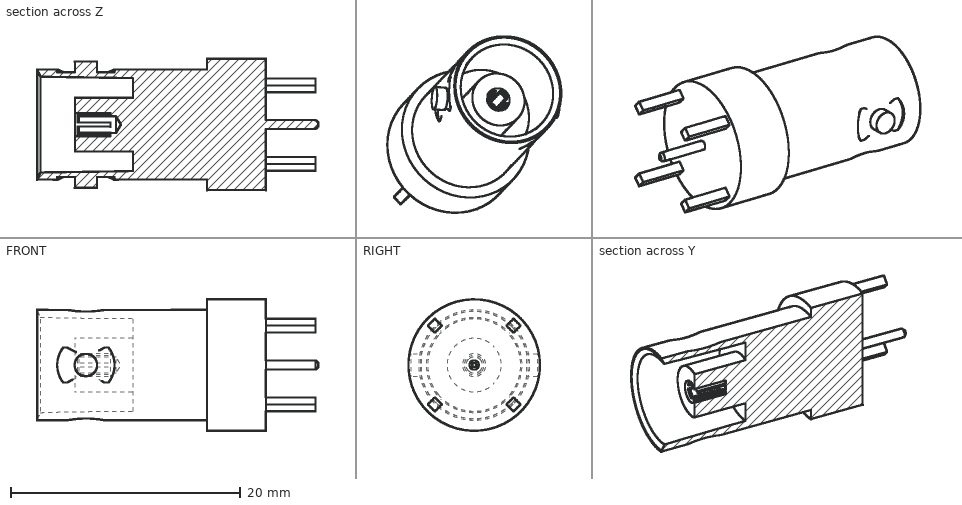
import cadquery as cq
import math

TOTAL_LENGTH = 24.5

BARREL_RADIUS = 4.83
FLANGE_DIAMETER = 11.5
FLANGE_RADIUS = FLANGE_DIAMETER / 2
FLANGE_START = 14.8
FLANGE_END = 19.95

MOUTH_RADIUS = 4.7
THROAT_RADIUS = 4.17
THROAT_X = 0.3
FLOOR_RADIUS = 4.05
FLOOR_X = 8.33

LUG_X = 4.25
GROOVE_WIDTH = 3.24
GROOVE_BOTTOM_RADIUS = 4.68

LUG_RADIUS = 0.98
LUG_TIP_Y = 5.51
SPOT_RADIUS = 2.5
SPOT_Y = 4.58

INSULATOR_RADIUS = 2.35
INSULATOR_FRONT = 3.28
INSULATOR_BORE_RADIUS = 1.0
CONTACT_RADIUS = 0.85
CONTACT_FRONT = 3.5
CONTACT_HOLE_RADIUS = 0.7
CONTACT_SLOT_FLOOR = 6.37
CONTACT_SLOT_WIDTH = 0.37
CONTACT_HOLE_END = 6.86
DRILL_POINT_ANGLE = 118.0

PIN_DIAGONAL = 1.23
PIN_OFFSET = 3.43
PIN_END = 24.3
CENTRE_PIN_DIAMETER = 0.8
CENTRE_PIN_TIP_CHAMFER = TOTAL_LENGTH - PIN_END


def revolve_about_x(profile):
    """Close an XY profile (X along the axis, Y the radius) and spin it about X."""
    return profile.close().revolve(360, (0, 0, 0), (1, 0, 0))


def rod(radius, start, end):
    """Cylinder along X between two X positions."""
    return cq.Workplane("YZ", origin=(start, 0, 0)).circle(radius).extrude(end - start)


def make_shell():
    """Barrel with its groove, rear flange and tapered cavity."""
    groove_start = LUG_X - GROOVE_WIDTH / 2
    groove_end = LUG_X + GROOVE_WIDTH / 2
    profile = (
        cq.Workplane("XY")
        .moveTo(0, MOUTH_RADIUS)
        .lineTo(0, BARREL_RADIUS)
        .lineTo(groove_start, BARREL_RADIUS)
        .threePointArc((LUG_X, GROOVE_BOTTOM_RADIUS), (groove_end, BARREL_RADIUS))
        .lineTo(FLANGE_START, BARREL_RADIUS)
        .lineTo(FLANGE_START, FLANGE_RADIUS)
        .lineTo(FLANGE_END, FLANGE_RADIUS)
        .lineTo(FLANGE_END, 0)
        .lineTo(FLOOR_X, 0)
        .lineTo(FLOOR_X, FLOOR_RADIUS)
        .lineTo(THROAT_X, THROAT_RADIUS)
    )
    return revolve_about_x(profile)


def y_cylinder(radius, start_y, end_y):
    """Cylinder along Y at the lug position."""
    plane = cq.Plane(origin=(LUG_X, start_y, 0), xDir=(1, 0, 0), normal=(0, 1, 0))
    return cq.Workplane(plane).circle(radius).extrude(end_y - start_y)


def add_lugs(shell):
    """Cut the two opposite spot faces and stand a lug on each."""
    lug_root_y = (SPOT_Y + THROAT_RADIUS) / 2
    for side in (-1, 1):
        shell = shell.cut(y_cylinder(SPOT_RADIUS, side * SPOT_Y, side * FLANGE_RADIUS))
        shell = shell.union(y_cylinder(LUG_RADIUS, side * lug_root_y, side * LUG_TIP_Y))
    return shell


def make_socket():
    """Flared hole with a drill point, as a solid to remove from the contact."""
    flare_depth = CONTACT_RADIUS - CONTACT_HOLE_RADIUS
    point_depth = CONTACT_HOLE_RADIUS / math.tan(math.radians(DRILL_POINT_ANGLE / 2))
    profile = (
        cq.Workplane("XY")
        .moveTo(CONTACT_FRONT, 0)
        .lineTo(CONTACT_FRONT, CONTACT_RADIUS)
        .lineTo(CONTACT_FRONT + flare_depth, CONTACT_HOLE_RADIUS)
        .lineTo(CONTACT_HOLE_END, CONTACT_HOLE_RADIUS)
        .lineTo(CONTACT_HOLE_END + point_depth, 0)
    )
    return revolve_about_x(profile)


def make_core():
    """Insulator with the four-fingered socket contact standing in its bore."""
    core = rod(INSULATOR_RADIUS, INSULATOR_FRONT, FLOOR_X)
    core = core.cut(rod(INSULATOR_BORE_RADIUS, INSULATOR_FRONT, CONTACT_SLOT_FLOOR))
    core = core.union(rod(CONTACT_RADIUS, CONTACT_FRONT, FLOOR_X)).cut(make_socket())
    slot_plane = cq.Workplane("YZ", origin=(CONTACT_FRONT, 0, 0))
    slot_depth = CONTACT_SLOT_FLOOR - CONTACT_FRONT
    slot = slot_plane.rect(2 * CONTACT_RADIUS, CONTACT_SLOT_WIDTH).extrude(slot_depth)
    for angle in (0, 90):
        core = core.cut(slot.rotate((0, 0, 0), (1, 0, 0), angle))
    return core


def make_board_pins():
    """Four square pins, each with its section diagonals along Y and Z."""
    sections = (
        cq.Workplane("YZ", origin=(FLANGE_END, 0, 0))
        .rect(2 * PIN_OFFSET, 2 * PIN_OFFSET, forConstruction=True)
        .vertices()
        .polygon(4, PIN_DIAGONAL)
    )
    return sections.extrude(PIN_END - FLANGE_END)


def make_centre_pin():
    """Round signal pin with a chamfered tip."""
    pin = rod(CENTRE_PIN_DIAMETER / 2, FLANGE_END, TOTAL_LENGTH)
    return pin.faces(">X").chamfer(CENTRE_PIN_TIP_CHAMFER)


result = add_lugs(make_shell())
for part in (make_core(), make_board_pins(), make_centre_pin()):
    result = result.union(part)